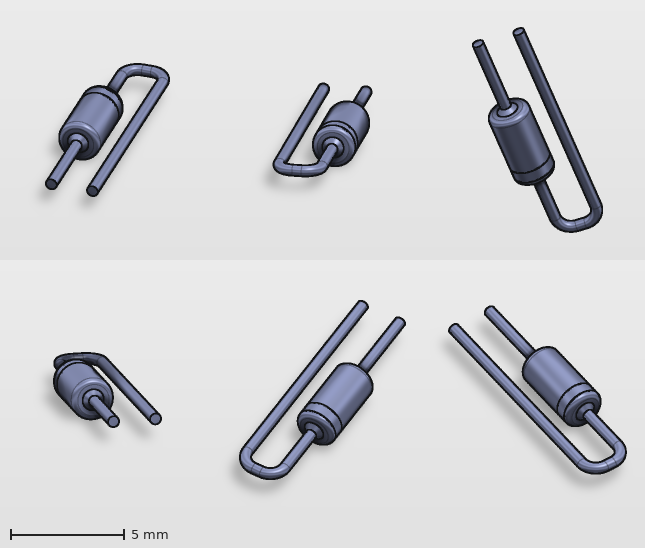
import cadquery as cq


total_length = 10.96
lead_radius = 0.25
lead_pitch = 1.91
bend_radius = 0.75

body_radius = 0.95
body_start = 3.8
body_length = 3.65
body_fillet = 0.24
cone_base_radius = 0.48
cone_height = 0.22

band_width = 0.54
band_depth = 0.05
band_margin = 0.26

body_end = body_start + body_length
lower_cone_tip = body_start - cone_height
upper_cone_tip = body_end + cone_height
band_start = body_end - band_margin - band_width


def disc_on_axis(y, radius):
    """Circle about the component axis, facing along +Y."""
    plane = cq.Plane(origin=(0, y, 0), xDir=(1, 0, 0), normal=(0, 1, 0))
    return cq.Workplane(plane).circle(radius)


def make_band():
    """Thin ring whose outside is level with the housing."""
    ring = disc_on_axis(band_start, body_radius)
    return ring.circle(body_radius - band_depth).extrude(band_width)


def make_housing(band):
    """Rounded cylinder with a cone at each end and a groove for the band."""
    barrel = disc_on_axis(body_start, body_radius).extrude(body_length)
    barrel = barrel.edges("%CIRCLE").fillet(body_fillet)
    cones = (
        cq.Workplane("XY")
        .moveTo(0, lower_cone_tip)
        .lineTo(lead_radius, lower_cone_tip)
        .lineTo(cone_base_radius, body_start)
        .lineTo(cone_base_radius, body_end)
        .lineTo(lead_radius, upper_cone_tip)
        .lineTo(0, upper_cone_tip)
        .close()
        .revolve(360, (0, 0, 0), (0, 1, 0))
    )
    return barrel.union(cones).cut(band)


def make_straight_lead():
    """Wire from its tip to the near cone."""
    return disc_on_axis(0, lead_radius).extrude(lower_cone_tip)


def make_bent_lead():
    """Wire that leaves the far cone, turns back and runs beside the housing."""
    crown = total_length - lead_radius
    bend_start = crown - bend_radius
    path = (
        cq.Workplane("XY")
        .moveTo(0, upper_cone_tip)
        .lineTo(0, bend_start)
        .radiusArc((bend_radius, crown), bend_radius)
        .lineTo(lead_pitch - bend_radius, crown)
        .radiusArc((lead_pitch, bend_start), bend_radius)
        .lineTo(lead_pitch, 0)
    )
    return disc_on_axis(upper_cone_tip, lead_radius).sweep(path)


band = make_band()
housing = make_housing(band)
straight_lead = make_straight_lead()
bent_lead = make_bent_lead()

result = cq.Compound.makeCompound(
    [housing.val(), band.val(), straight_lead.val(), bent_lead.val()]
)